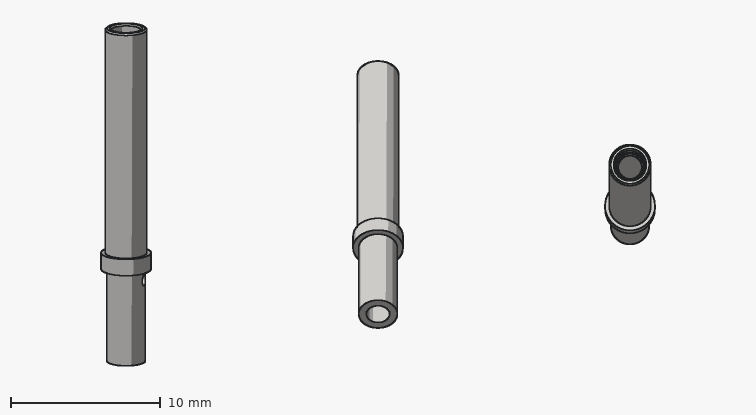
import cadquery as cq

total_length = 23.1
collar_bottom = 6.38
collar_height = 1.13
collar_top = collar_bottom + collar_height

tail_diameter = 2.59
collar_diameter = 3.35
barrel_diameter = 2.8
rim_chamfer = 0.12

socket_diameter = 1.57
socket_depth = 13.87
entry_diameter = 1.96
entry_depth = 0.83
entry_chamfer = 0.12
lead_in_diameter = 1.8
lead_in_depth = 0.12

cup_diameter = 1.55
cup_depth = 6.1
side_hole_diameter = 0.76
side_hole_height = cup_depth - side_hole_diameter / 2


def cylinder(diameter, bottom, top):
    return cq.Workplane("XY").workplane(offset=bottom).circle(diameter / 2).extrude(top - bottom)


def cone(bottom_diameter, top_diameter, bottom, top):
    lower = cq.Workplane("XY").workplane(offset=bottom).circle(bottom_diameter / 2)
    return lower.workplane(offset=top - bottom).circle(top_diameter / 2).loft()


def make_body():
    tail = cylinder(tail_diameter, 0, collar_bottom)
    collar = cylinder(collar_diameter, collar_bottom, collar_top)
    barrel = cylinder(barrel_diameter, collar_top, total_length).faces(">Z").edges().chamfer(rim_chamfer)
    return tail.union(collar).union(barrel)


def make_socket():
    entry = cylinder(entry_diameter, total_length - entry_depth, total_length)
    bore = cylinder(socket_diameter, total_length - socket_depth, total_length)
    mouth = cone(entry_diameter, entry_diameter + 2 * entry_chamfer, total_length - entry_chamfer, total_length)
    ledge_height = total_length - entry_depth
    lead_in = cone(socket_diameter, lead_in_diameter, ledge_height - lead_in_depth, ledge_height)
    return entry.union(bore).union(mouth).union(lead_in)


def make_side_hole():
    return (
        cq.Workplane("YZ")
        .center(0, side_hole_height)
        .circle(side_hole_diameter / 2)
        .extrude(tail_diameter)
    )


wire_cup = cylinder(cup_diameter, 0, cup_depth)

result = make_body().cut(make_socket()).cut(wire_cup).cut(make_side_hole())